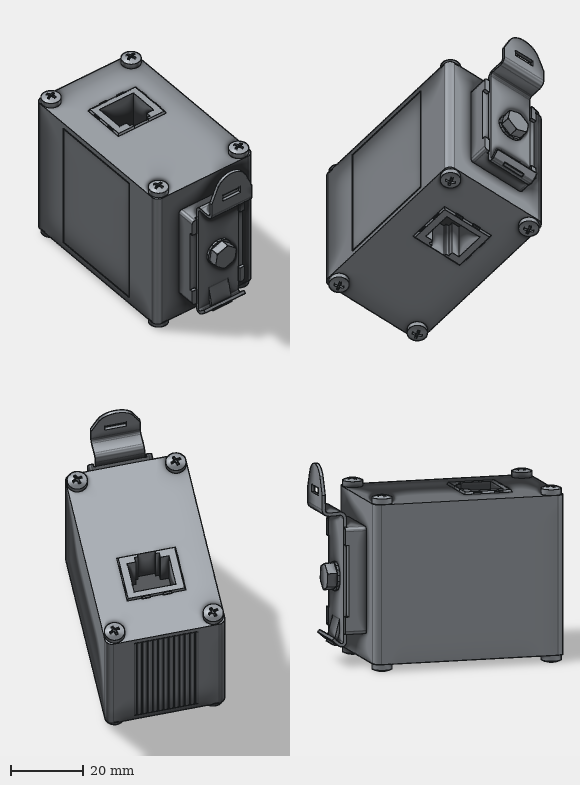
import cadquery as cq
import math

LENGTH = 55.05
WIDTH = 34.0
HEIGHT = 45.0
CORNER_RADIUS = 2.0
MID_X = LENGTH / 2
MID_Z = HEIGHT / 2

PANEL_HEIGHT = 41.0
LABEL_WIDTH = 30.0
LABEL_DEPTH = 0.2
GRIP_WIDTH = 18.0
RIB_COUNT = 12
RIB_SHOULDER = 0.3
GROOVE_FLOOR = 0.15
FLANK_ANGLE = 45

SCREW_INSET = 3.0
SCREW_RADIUS = 2.8
SCREW_HEIGHT = 2.35
SCREW_RIM = 1.6
CROSS_LENGTH = 2.8
CROSS_WIDTH = 0.6
CROSS_DEPTH = 0.8
CROSS_TURN = 20

JACK_X = 19.5
JACK_LENGTH = 13.85
JACK_WIDTH = 16.65
JACK_HEIGHT = 0.7
JACK_TAPER = 0.35
JACK_DEPTH = 12.1
SOCKET_LEFT = 14.6
SOCKET_STEPS = ((23.8, 11.8), (25.3, 7.0), (26.1, 5.0))
NUB_WIDTH = 2.4
NUB_SPACING = 6.05
NUB_REACH = 0.3
NUB_HEIGHT = 0.4

BLOCK_RIGHT = 61.1
BLOCK_WIDTH = 18.3
BLOCK_BOTTOM = 7.4
BLOCK_TOP = 37.55
BLOCK_RADIUS = 1.0
CHANNEL_WIDTH = 15.05
WINDOW_HEIGHT = 20.15

SHEET = 0.95
HOOK_BEND_RADIUS = 1.35
SHELF_BEND_RADIUS = 1.9
CLIP_WIDTH = 14.0
CLIP_RIGHT = 67.2
CLIP_TOP = 54.5
PLATE_X = BLOCK_RIGHT - SHEET / 2
TAB_X = CLIP_RIGHT - SHEET / 2
HOOK_Z = 4.2
HOOK_BEND_X = 61.9
HOOK_TIP = (64.0, 6.05)
SHELF_Z = 41.3
SHELF_DROP = 0.2
TAB_SHOULDER_Z = 46.65
TAB_ARC_Z = 51.7
TAB_ARC_WIDTH = 9.6
SLOT_WIDTH = 6.2
SLOT_BOTTOM = 46.0
SLOT_TOP = 48.1
TONGUE_ROOT = (PLATE_X, 10.9)
TONGUE_TIP = (62.4, 3.6)
TONGUE_WIDTH = 6.7

BOLT_Z = MID_Z
WASHER_RADIUS = 4.1
WASHER_THICKNESS = 0.75
WASHER_SIDES = 16
HEAD_RADIUS = 3.9
HEAD_RIGHT = 64.6
HEAD_CHAMFER = 0.2
HEAD_TURN = 39

OVERLAP = 0.7


def box(x_range, width, z_range):
    """A block centred on Y = 0."""
    size_x = x_range[1] - x_range[0]
    size_z = z_range[1] - z_range[0]
    block = cq.Workplane("XY").box(size_x, width, size_z, centered=(False, True, False))
    return block.translate((x_range[0], 0, z_range[0]))


def turned_over(shape):
    """Half a turn about the Y-parallel axis through the middle of the housing."""
    return shape.rotate((MID_X, 0, MID_Z), (MID_X, 1, MID_Z), 180)


def housing():
    body = box((0, LENGTH), WIDTH, (0, HEIGHT)).edges("|Z").fillet(CORNER_RADIUS)
    label = cq.Workplane("XY").box(LABEL_WIDTH, 2 * LABEL_DEPTH, PANEL_HEIGHT)
    return body.cut(label.translate((MID_X, -WIDTH / 2, MID_Z)))


def grip_grooves():
    """Grooves side by side; neighbouring rounded flanks meet in a crest flush with the end face."""
    pitch = GRIP_WIDTH / RIB_COUNT
    angle = math.radians(FLANK_ANGLE)
    radius = RIB_SHOULDER * pitch / math.sin(angle)
    shoulder_y = (0.5 - RIB_SHOULDER) * pitch
    shoulder_x = radius * (1 - math.cos(angle))
    halfway_y = pitch / 2 - radius * math.sin(angle / 2)
    halfway_x = radius * (1 - math.cos(angle / 2))
    floor_y = GROOVE_FLOOR * pitch / 2
    floor_x = shoulder_x + (shoulder_y - floor_y) * math.tan(angle)
    groove = (
        cq.Workplane("XY")
        .moveTo(0, -pitch / 2)
        .threePointArc((halfway_x, -halfway_y), (shoulder_x, -shoulder_y))
        .lineTo(floor_x, -floor_y)
        .lineTo(floor_x, floor_y)
        .lineTo(shoulder_x, shoulder_y)
        .threePointArc((halfway_x, halfway_y), (0, pitch / 2))
        .close()
        .extrude(PANEL_HEIGHT)
        .translate((0, 0, MID_Z - PANEL_HEIGHT / 2))
    )
    first_y = (pitch - GRIP_WIDTH) / 2
    return [groove.translate((0, first_y + i * pitch, 0)) for i in range(RIB_COUNT)]


def screw():
    """A low cylinder with a domed top and a cross recess, standing on Z = 0."""
    dome_rise = SCREW_HEIGHT - SCREW_RIM
    dome_radius = (SCREW_RADIUS**2 + dome_rise**2) / (2 * dome_rise)
    half = SCREW_RADIUS / 2
    half_z = SCREW_HEIGHT - dome_radius + math.sqrt(dome_radius**2 - half**2)
    head = (
        cq.Workplane("XZ")
        .moveTo(0, -OVERLAP)
        .lineTo(SCREW_RADIUS, -OVERLAP)
        .lineTo(SCREW_RADIUS, SCREW_RIM)
        .threePointArc((half, half_z), (0, SCREW_HEIGHT))
        .close()
        .revolve(360, (0, 0), (0, 1))
    )
    for turn in (CROSS_TURN, CROSS_TURN + 90):
        arm = box((-CROSS_LENGTH / 2, CROSS_LENGTH / 2), CROSS_WIDTH, (0, 2 * CROSS_DEPTH))
        arm = arm.translate((0, 0, SCREW_HEIGHT - CROSS_DEPTH))
        head = head.cut(arm.rotate((0, 0, 0), (0, 0, 1), turn))
    return head


def cover_screws():
    screws = []
    for x in (SCREW_INSET, LENGTH - SCREW_INSET):
        for y in (SCREW_INSET - WIDTH / 2, WIDTH / 2 - SCREW_INSET):
            upper = screw().translate((x, y, HEIGHT))
            screws += [upper, turned_over(upper)]
    return screws


def jack_frame():
    """Tapered frame around the top socket, with pairs of latch nubs on three sides."""
    taper = math.degrees(math.atan(JACK_TAPER / JACK_HEIGHT))
    frame = cq.Workplane("XY").rect(JACK_LENGTH, JACK_WIDTH).extrude(JACK_HEIGHT, taper=taper)
    for offset in (-NUB_SPACING / 2, NUB_SPACING / 2):
        across = box((offset - NUB_WIDTH / 2, offset + NUB_WIDTH / 2), JACK_WIDTH, (0, NUB_HEIGHT))
        frame = frame.union(across)
        left = box((-JACK_LENGTH / 2 - NUB_REACH, 0), NUB_WIDTH, (0, NUB_HEIGHT))
        frame = frame.union(left.translate((0, offset, 0)))
    return frame.translate((JACK_X, 0, HEIGHT))


def jack_socket():
    """Stepped cavity whose narrow end takes the plug latch."""
    z_range = (HEIGHT - JACK_DEPTH, HEIGHT + 2 * JACK_HEIGHT)
    socket = box((SOCKET_LEFT, SOCKET_STEPS[0][0]), SOCKET_STEPS[0][1], z_range)
    for right, width in SOCKET_STEPS[1:]:
        socket = socket.union(box((SOCKET_LEFT, right), width, z_range))
    return socket


def mounting_block():
    block = box((LENGTH - OVERLAP, BLOCK_RIGHT), BLOCK_WIDTH, (BLOCK_BOTTOM, BLOCK_TOP))
    block = block.edges("|X").fillet(BLOCK_RADIUS)
    channel_x = (BLOCK_RIGHT - SHEET, BLOCK_RIGHT)
    channel = box(channel_x, CHANNEL_WIDTH, (BLOCK_BOTTOM, BLOCK_TOP))
    window = box(channel_x, BLOCK_WIDTH, (MID_Z - WINDOW_HEIGHT / 2, MID_Z + WINDOW_HEIGHT / 2))
    return block.cut(channel).cut(window)


def bent_strip(centre_line, bend_radii, width):
    """Sheet of even thickness along an XZ centre line; each inner point is a bend with its outer radius."""
    last = len(centre_line) - 1
    left_side, right_side, bends = [], [], []
    for i, (x, z) in enumerate(centre_line):
        before = centre_line[max(i - 1, 0)]
        after = centre_line[min(i + 1, last)]
        angle_in = math.atan2(z - before[1], x - before[0]) if i > 0 else None
        angle_out = math.atan2(after[1] - z, after[0] - x) if i < last else angle_in
        angle_in = angle_out if angle_in is None else angle_in
        turn = math.remainder(angle_out - angle_in, 2 * math.pi)
        normal = angle_in + turn / 2 + math.pi / 2
        reach = SHEET / 2 / math.cos(turn / 2)
        shift_x = reach * math.cos(normal)
        shift_z = reach * math.sin(normal)
        left_side.append((x + shift_x, z + shift_z))
        right_side.append((x - shift_x, z - shift_z))
        if 0 < i < last:
            radius = bend_radii[i - 1]
            inner, outer = (left_side, right_side) if turn > 0 else (right_side, left_side)
            bends += [(inner[-1], radius - SHEET), (outer[-1], radius)]
    outline = left_side + right_side[::-1]
    strip = cq.Workplane("XZ").polyline(outline).close().extrude(width / 2, both=True)
    for (x, z), radius in bends:
        strip = strip.edges(cq.NearestToPointSelector((x, 0, z))).fillet(radius)
    return strip


def clip():
    strip = bent_strip(
        [
            HOOK_TIP,
            (HOOK_BEND_X, HOOK_Z),
            (PLATE_X, HOOK_Z),
            (PLATE_X, SHELF_Z),
            (TAB_X, SHELF_Z - SHELF_DROP),
            (TAB_X, CLIP_TOP),
        ],
        2 * [HOOK_BEND_RADIUS] + 2 * [SHELF_BEND_RADIUS],
        CLIP_WIDTH,
    )
    tab_outline = (
        cq.Workplane("YZ")
        .moveTo(-CLIP_WIDTH / 2, 0)
        .lineTo(-CLIP_WIDTH / 2, TAB_SHOULDER_Z)
        .lineTo(-TAB_ARC_WIDTH / 2, TAB_ARC_Z)
        .threePointArc((0, CLIP_TOP), (TAB_ARC_WIDTH / 2, TAB_ARC_Z))
        .lineTo(CLIP_WIDTH / 2, TAB_SHOULDER_Z)
        .lineTo(CLIP_WIDTH / 2, 0)
        .close()
        .extrude(CLIP_RIGHT)
    )
    slot = box((TAB_X - SHEET, CLIP_RIGHT), SLOT_WIDTH, (SLOT_BOTTOM, SLOT_TOP))
    tongue = bent_strip([TONGUE_ROOT, TONGUE_TIP], [], TONGUE_WIDTH)
    return strip.intersect(tab_outline).cut(slot).union(tongue)


def prism(sides, radius, x_range, turn):
    """Regular prism along X on the bolt axis; turn lifts its first corner from -Y toward +Z."""
    corners = []
    for i in range(sides):
        angle = math.radians(turn + 360 * i / sides)
        corners.append((-radius * math.cos(angle), BOLT_Z + radius * math.sin(angle)))
    plane = cq.Workplane("YZ", origin=(x_range[0], 0, 0))
    return plane.polyline(corners).close().extrude(x_range[1] - x_range[0])


def bolt():
    washer_right = BLOCK_RIGHT + WASHER_THICKNESS
    washer_turn = 180 / WASHER_SIDES
    washer = prism(WASHER_SIDES, WASHER_RADIUS, (PLATE_X, washer_right), washer_turn)
    head = prism(6, HEAD_RADIUS, (PLATE_X, HEAD_RIGHT), HEAD_TURN)
    head_round = (
        cq.Workplane("YZ", origin=(PLATE_X, 0, BOLT_Z))
        .circle(HEAD_RADIUS)
        .extrude(HEAD_RIGHT - PLATE_X)
        .faces(">X")
        .chamfer(HEAD_CHAMFER)
    )
    return washer.union(head.intersect(head_round))


result = housing()
for groove in grip_grooves():
    result = result.cut(groove)
for part in cover_screws():
    result = result.union(part)
for part in (jack_frame(), turned_over(jack_frame()), mounting_block(), clip(), bolt()):
    result = result.union(part)
for socket in (jack_socket(), turned_over(jack_socket())):
    result = result.cut(socket)